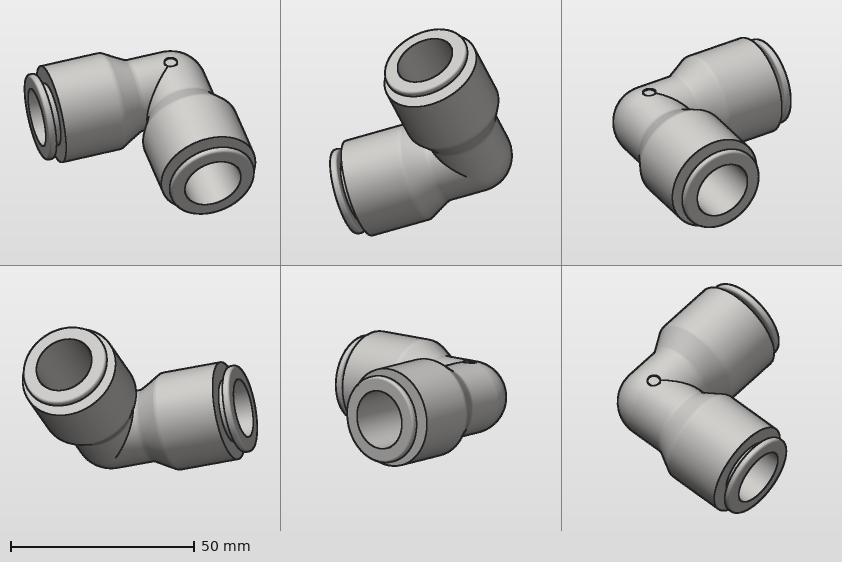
import cadquery as cq

overall_length = 51.8

body_diameter = 27.0
body_radius = body_diameter / 2
elbow_radius = 9.95
neck_radius = 8.65
flange_radius = 11.95
bore_radius = 8.05

arm_length = overall_length - body_radius
cone_start = 10.9
cone_end = 17.3
body_end = 34.2
flange_start = 36.25

cone_blend = 2.05
flange_round = 0.7

recess_radius = 1.75
recess_depth = 0.5


def make_arm():
    """One arm along +X: elbow tube, cone, socket body, neck and release flange."""
    shell = (
        cq.Workplane("XY")
        .moveTo(0, 0)
        .lineTo(0, elbow_radius)
        .lineTo(cone_start, elbow_radius)
        .lineTo(cone_end, body_radius)
        .lineTo(body_end, body_radius)
        .lineTo(body_end, 0)
        .close()
        .revolve(360, (0, 0, 0), (1, 0, 0))
    )
    shell = shell.edges("%CIRCLE").edges("not(<X or >X)").fillet(cone_blend)
    neck = (
        cq.Workplane("YZ")
        .workplane(offset=body_end)
        .circle(neck_radius)
        .extrude(arm_length - body_end)
    )
    flange = (
        cq.Workplane("YZ")
        .workplane(offset=flange_start)
        .circle(flange_radius)
        .extrude(arm_length - flange_start)
        .edges()
        .fillet(flange_round)
    )
    return shell.union(neck).union(flange)


def make_bore():
    """Bore of one arm along +X, from the corner out through the flange."""
    return cq.Workplane("YZ").circle(bore_radius).extrude(arm_length)


def turn_to_second_arm(shape):
    """Turn a shape lying along +X so that it lies along -Y."""
    return shape.rotate((0, 0, 0), (0, 0, 1), -90)


arm = make_arm()
elbow = arm.union(turn_to_second_arm(arm)).union(cq.Workplane("XY").sphere(elbow_radius))

bore = make_bore()
passage = bore.union(turn_to_second_arm(bore)).union(cq.Workplane("XY").sphere(bore_radius))

recess = (
    cq.Workplane("XY")
    .workplane(offset=elbow_radius - recess_depth)
    .circle(recess_radius)
    .extrude(recess_depth)
)

result = elbow.cut(passage).cut(recess)